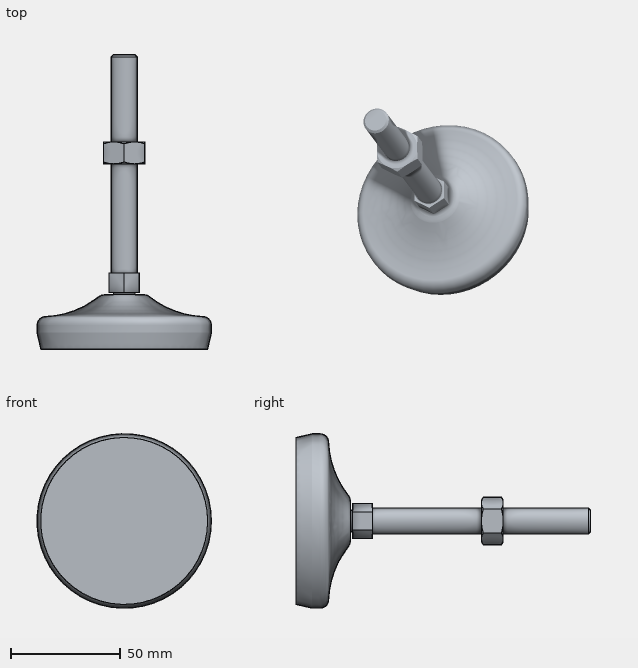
import cadquery as cq
import math


foot_radius = 40.0
floor_radius = 38.25
taper_height = 7.5
rim_height = 15.0
rim_round = 4.0
dome_height = 25.0
dome_top_radius = 10.5
dome_edge_round = 4.0
dome_curve_radius = 42.0

neck_radius = 5.0
neck_length = 1.0
rod_radius = 6.0
rod_end = 135.0
rod_chamfer = 1.0

stem_hex_flats = 14.0
stem_hex_height = 9.0
nut_flats = 19.0
nut_height = 10.0
nut_start = 85.0
nut_chamfer_angle = 30.0

stem_hex_start = dome_height + neck_length
rod_start = stem_hex_start + stem_hex_height


def plane_at(height):
    """Work plane across the axis, facing +Y, with local X along +Z."""
    return cq.Plane(origin=(0, height, 0), xDir=(0, 0, 1), normal=(0, 1, 0))


def cylinder(radius, start, length):
    return cq.Workplane(plane_at(start)).circle(radius).extrude(length)


def hexagon(flats, start, length):
    """Hexagonal prism with two corners on the +Z and -Z sides."""
    corner_diameter = flats / math.cos(math.pi / 6)
    return cq.Workplane(plane_at(start)).polygon(6, corner_diameter).extrude(length)


def make_foot():
    rim_radius = foot_radius - rim_round
    diagonal = rim_round * math.sqrt(0.5)
    sharp_foot = (
        cq.Workplane("XY")
        .lineTo(floor_radius, 0)
        .lineTo(foot_radius, taper_height)
        .lineTo(foot_radius, rim_height - rim_round)
        .threePointArc(
            (rim_radius + diagonal, rim_height - rim_round + diagonal),
            (rim_radius, rim_height),
        )
        .radiusArc((dome_top_radius, dome_height), dome_curve_radius)
        .lineTo(0, dome_height)
        .close()
        .revolve(360, (0, 0, 0), (0, 1, 0))
    )
    return sharp_foot.faces(">Y").edges().fillet(dome_edge_round)


def make_nut():
    """Hexagon nut whose corners are turned off by a cone at both ends."""
    flat_radius = nut_flats / 2
    corner_radius = flat_radius / math.cos(math.pi / 6)
    cone_height = (corner_radius - flat_radius) * math.tan(math.radians(nut_chamfer_angle))
    turned = (
        cylinder(corner_radius, nut_start, nut_height)
        .edges()
        .chamfer(cone_height, corner_radius - flat_radius)
    )
    return hexagon(nut_flats, nut_start, nut_height).intersect(turned)


def make_rod():
    rod = cylinder(rod_radius, rod_start, rod_end - rod_start)
    return rod.faces(">Y").chamfer(rod_chamfer)


result = (
    make_foot()
    .union(cylinder(neck_radius, dome_height, neck_length))
    .union(hexagon(stem_hex_flats, stem_hex_start, stem_hex_height))
    .union(make_rod())
    .union(make_nut())
)